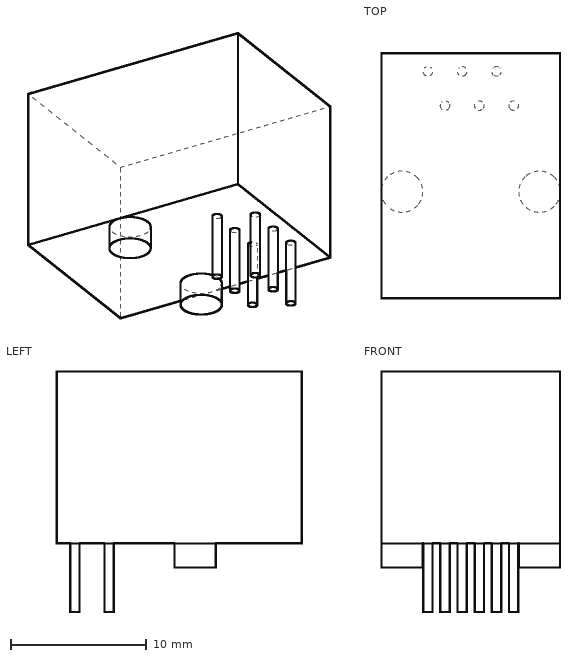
import cadquery as cq

housing_width = 13.21
housing_length = 18.1
housing_height = 12.7

peg_diameter = 3.05
peg_length = 1.8
peg_x = (housing_width - peg_diameter) / 2
peg_y = -1.18

pin_diameter = 0.7
pin_length = 5.09
pin_count = 6
pin_pitch = 1.27
row_spacing = 2 * pin_pitch
back_row_y = 7.71
front_row_y = back_row_y - row_spacing


def make_housing():
    """Plain rectangular block."""
    return cq.Workplane("XY").box(
        housing_width, housing_length, housing_height, centered=(True, True, False)
    )


def make_post(x, y, diameter, length):
    """Round post hanging from the housing underside."""
    return cq.Workplane("XY").center(x, y).circle(diameter / 2).extrude(-length)


def make_peg(x):
    return make_post(x, peg_y, peg_diameter, peg_length)


def make_pin(index):
    """Pins alternate between the back row and the front row along X."""
    x = (index - (pin_count - 1) / 2) * pin_pitch
    y = back_row_y if index % 2 == 0 else front_row_y
    return make_post(x, y, pin_diameter, pin_length)


housing = make_housing()
pegs = [make_peg(x).val() for x in (-peg_x, peg_x)]
pins = [make_pin(index).val() for index in range(pin_count)]

result = cq.Compound.makeCompound([housing.val(), *pegs, *pins])